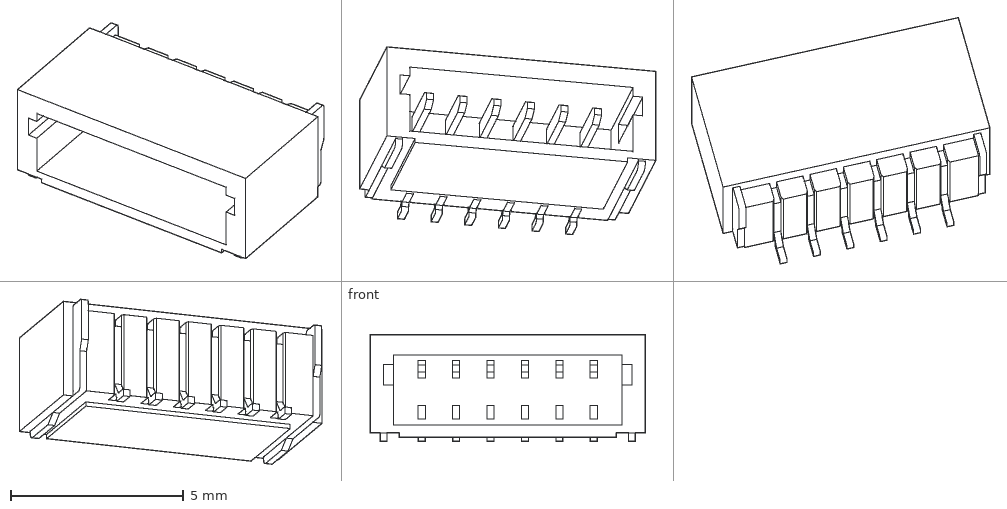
import cadquery as cq
import math


LENGTH = 8.0
DEPTH = 3.75
TOTAL_HEIGHT = 3.1
UNDERSIDE_Z = 0.25

RIB_LENGTH = 6.32
RIB_DEPTH = 3.34
RIB_BOTTOM_Z = 0.12

CAVITY_LENGTH = 6.64
CAVITY_DEPTH = 3.0
CAVITY_FLOOR_Z = 0.47
CAVITY_TOP_Z = 2.52
NOTCH_SPAN = 7.22
NOTCH_DEPTH = 2.0
NOTCH_BOTTOM_Z = 1.64
NOTCH_TOP_Z = 2.24

REAR_BLOCK_DEPTH = 0.6
REAR_BLOCK_TOP_Z = 2.7
SLOT_CHAMFER_WIDTH = 0.05
SLOT_CHAMFER_DEPTH = 0.09

CONTACT_COUNT = 6
CONTACT_PITCH = 1.0
SHEET_THICKNESS = 0.21
STEM_REAR_Y = 4.26
PIN_TIP_Y = 1.0
PIN_BOTTOM_Z = 1.85
PIN_TOP_Z = 2.35
PIN_TIP_BOTTOM_Z = 2.02
PIN_TIP_TOP_Z = 2.22
PIN_TAPER_RATIO = 2.0
PRONG_BOTTOM_Z = 0.66
PRONG_TOP_Z = 1.05
FOOT_END_Y = 5.0
FOOT_BEND_Y = 4.58
FOOT_HEEL_Y = 4.41
FOOT_THICKNESS = 0.22
FOOT_HEEL_HEIGHT = 0.13
FOOT_LEG_ANGLE = 48.6
FOOT_EDGE_RADIUS = 0.05

TAB_SPACING = 7.22
TAB_REAR_Y = 4.5
TAB_TOP_Z = 3.0
TAB_TOP_RADIUS = 0.1
TAB_STEP_TOP_Z = 1.76
TAB_STEP_BOTTOM_Z = 1.45
TAB_HEEL_RADIUS = 0.1
TAB_ARM_TIP_Y = 0.12
TAB_ARM_HEIGHT = 0.4
TAB_RAMP_FRONT_Y = 1.64
TAB_RAMP_REAR_Y = 2.06

REAR_BLOCK_REAR_Y = DEPTH + REAR_BLOCK_DEPTH
REAR_BLOCK_LENGTH = TAB_SPACING - SHEET_THICKNESS
CONTACT_XS = [(i - (CONTACT_COUNT - 1) / 2) * CONTACT_PITCH for i in range(CONTACT_COUNT)]
TAB_XS = [-TAB_SPACING / 2, TAB_SPACING / 2]


def box_between(length, y_front, y_rear, z_bottom, z_top):
    """Box centred on X = 0 between the given Y and Z limits."""
    return (
        cq.Workplane("XY")
        .box(length, y_rear - y_front, z_top - z_bottom, centered=(True, False, False))
        .translate((0, y_front, z_bottom))
    )


def sheet_plane(x):
    """YZ sketch plane from which a sheet centred on x is extruded along +X."""
    return cq.Workplane("YZ", origin=(x - SHEET_THICKNESS / 2, 0, 0))


def make_contact(x):
    """Forked contact: tapered pin, lower prong, broad stem and gull-wing solder foot."""
    upper_run = PIN_TAPER_RATIO * (PIN_TOP_Z - PIN_TIP_TOP_Z)
    lower_run = PIN_TAPER_RATIO * (PIN_TIP_BOTTOM_Z - PIN_BOTTOM_Z)
    leg_slope = math.tan(math.radians(FOOT_LEG_ANGLE))
    leg_top_z = FOOT_THICKNESS + (FOOT_BEND_Y - STEM_REAR_Y) * leg_slope
    contact = (
        sheet_plane(x)
        .moveTo(PIN_TIP_Y, PIN_TIP_BOTTOM_Z)
        .lineTo(PIN_TIP_Y, PIN_TIP_TOP_Z)
        .lineTo(PIN_TIP_Y + upper_run, PIN_TOP_Z)
        .lineTo(STEM_REAR_Y, PIN_TOP_Z)
        .lineTo(STEM_REAR_Y, leg_top_z)
        .lineTo(FOOT_BEND_Y, FOOT_THICKNESS)
        .lineTo(FOOT_END_Y, FOOT_THICKNESS)
        .lineTo(FOOT_END_Y, 0)
        .lineTo(FOOT_HEEL_Y, 0)
        .lineTo(FOOT_HEEL_Y, FOOT_HEEL_HEIGHT)
        .lineTo(REAR_BLOCK_REAR_Y, UNDERSIDE_Z)
        .lineTo(DEPTH, UNDERSIDE_Z)
        .lineTo(DEPTH, PRONG_BOTTOM_Z)
        .lineTo(CAVITY_DEPTH, PRONG_BOTTOM_Z)
        .lineTo(CAVITY_DEPTH, PRONG_TOP_Z)
        .lineTo(DEPTH, PRONG_TOP_Z)
        .lineTo(DEPTH, PIN_BOTTOM_Z)
        .lineTo(PIN_TIP_Y + lower_run, PIN_BOTTOM_Z)
        .close()
        .extrude(SHEET_THICKNESS)
    )
    foot_tip_edge = cq.selectors.NearestToPointSelector((x, FOOT_END_Y, FOOT_THICKNESS))
    foot_heel_edge = cq.selectors.NearestToPointSelector((x, FOOT_HEEL_Y, 0))
    return contact.edges("|X").edges(foot_tip_edge + foot_heel_edge).fillet(FOOT_EDGE_RADIUS)


def make_solder_tab(x):
    """Upright plate behind the housing with an arm that runs forward in its underside."""
    tip_radius = TAB_ARM_HEIGHT / 2
    tip_centre_y = TAB_ARM_TIP_Y + tip_radius
    tab = (
        sheet_plane(x)
        .moveTo(tip_centre_y, 0)
        .threePointArc((TAB_ARM_TIP_Y, tip_radius), (tip_centre_y, TAB_ARM_HEIGHT))
        .lineTo(DEPTH, TAB_ARM_HEIGHT)
        .lineTo(DEPTH, TAB_TOP_Z)
        .lineTo(TAB_REAR_Y, TAB_TOP_Z)
        .lineTo(TAB_REAR_Y, TAB_STEP_TOP_Z)
        .lineTo(REAR_BLOCK_REAR_Y, TAB_STEP_BOTTOM_Z)
        .lineTo(REAR_BLOCK_REAR_Y, UNDERSIDE_Z)
        .lineTo(TAB_RAMP_REAR_Y, UNDERSIDE_Z)
        .lineTo(TAB_RAMP_FRONT_Y, 0)
        .close()
        .extrude(SHEET_THICKNESS)
    )
    heel_edge = cq.selectors.NearestToPointSelector((x, REAR_BLOCK_REAR_Y, UNDERSIDE_Z))
    tab = tab.faces(">Z").edges("|X").fillet(TAB_TOP_RADIUS)
    return tab.edges("|X").edges(heel_edge).fillet(TAB_HEEL_RADIUS)


def make_rear_slot(x):
    """Cutter for one contact slot, widened by chamfers at the rear of the block."""
    half_width = SHEET_THICKNESS / 2
    mouth_half_width = half_width + SLOT_CHAMFER_WIDTH
    chamfer_front_y = REAR_BLOCK_REAR_Y - SLOT_CHAMFER_DEPTH
    return (
        cq.Workplane("XY", origin=(x, 0, UNDERSIDE_Z))
        .moveTo(-half_width, DEPTH)
        .lineTo(half_width, DEPTH)
        .lineTo(half_width, chamfer_front_y)
        .lineTo(mouth_half_width, REAR_BLOCK_REAR_Y)
        .lineTo(-mouth_half_width, REAR_BLOCK_REAR_Y)
        .lineTo(-half_width, chamfer_front_y)
        .close()
        .extrude(REAR_BLOCK_TOP_Z - UNDERSIDE_Z)
    )


def make_housing(contacts, solder_tabs):
    """Open-fronted shell with matching seats for the contacts and solder tabs."""
    shell = box_between(LENGTH, 0, DEPTH, UNDERSIDE_Z, TOTAL_HEIGHT)
    rib = box_between(RIB_LENGTH, 0, RIB_DEPTH, RIB_BOTTOM_Z, UNDERSIDE_Z)
    rear_block = box_between(
        REAR_BLOCK_LENGTH, DEPTH, REAR_BLOCK_REAR_Y, UNDERSIDE_Z, REAR_BLOCK_TOP_Z
    )
    cavity = box_between(CAVITY_LENGTH, 0, CAVITY_DEPTH, CAVITY_FLOOR_Z, CAVITY_TOP_Z)
    notches = box_between(NOTCH_SPAN, 0, NOTCH_DEPTH, NOTCH_BOTTOM_Z, NOTCH_TOP_Z)

    housing = shell.union(rib).union(rear_block).cut(cavity).cut(notches)
    for x in CONTACT_XS:
        housing = housing.cut(make_rear_slot(x))
    for insert in contacts + solder_tabs:
        housing = housing.cut(insert)
    return housing


contacts = [make_contact(x) for x in CONTACT_XS]
solder_tabs = [make_solder_tab(x) for x in TAB_XS]
housing = make_housing(contacts, solder_tabs)

result = cq.Compound.makeCompound(
    [
        housing.val(),
        *[contact.val() for contact in contacts],
        *[tab.val() for tab in solder_tabs],
    ]
)